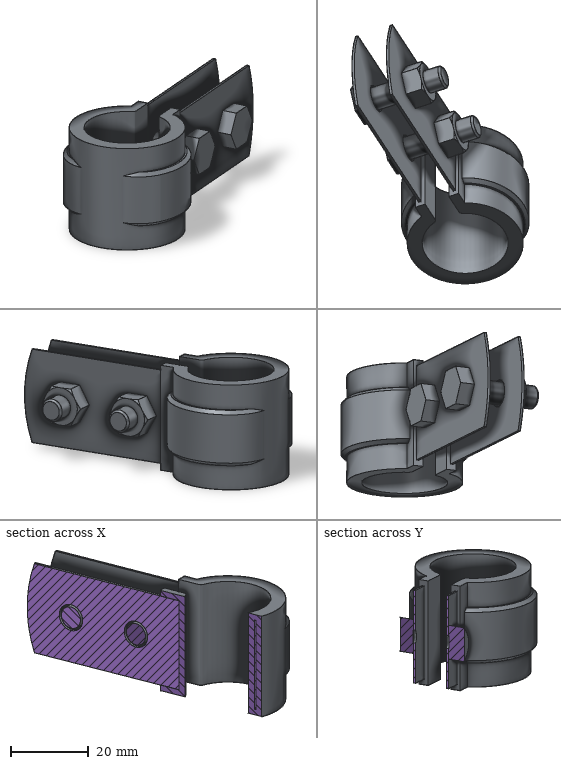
import cadquery as cq
import math


bore_diameter = 22.05
bore_radius = bore_diameter / 2
sleeve_radius = 14.9
sleeve_height = 28.0
lip_inner_x = 3.4
lip_outer_x = 6.1
lip_end_y = 17.35
lip_fillet = 1.0

pad_diameter = 32.7
pad_radius = pad_diameter / 2
pad_height = 14.8
pad_chamfer = 0.95
pad_arc_end_angle = -30.0
pad_runout_radius = 10.8
pad_runout_sweep = 55.0

strap_thickness = 0.65
strap_height = 24.9
strap_outer_x = 5.2
strap_inner_x = strap_outer_x - strap_thickness
strap_inner_radius = (bore_radius + sleeve_radius - strap_thickness) / 2
strap_end_y = 73.2 - sleeve_radius
strap_end_bulge = 2.3

bolt_first_y = 24.8
bolt_spacing = 20.0
bolt_count = 2
bolt_positions = [bolt_first_y + i * bolt_spacing for i in range(bolt_count)]
bolt_diameter = 6.0
bolt_tip_diameter = 4.9
bolt_length = 20.0
bolt_hole_diameter = 7.0
hex_flats = 9.95
hex_corners = hex_flats / math.cos(math.radians(30))
head_thickness = 3.95
nut_thickness = 4.8
nut_face_diameter = 10.0
nut_chamfer_width = (hex_corners - nut_face_diameter) / 2
nut_chamfer_depth = 0.45


def split_ring(inner_radius, outer_radius, inner_x, outer_x, end_y, height):
    """Open ring about Z whose two ends turn into parallel tails running to end_y."""
    middle_y = end_y / 2
    ring = cq.Workplane("XY").circle(outer_radius).extrude(height / 2, both=True)
    tails = cq.Workplane("XY").box(2 * outer_x, end_y, height).translate((0, middle_y, 0))
    bore = cq.Workplane("XY").circle(inner_radius).extrude(height / 2, both=True)
    gap = cq.Workplane("XY").box(2 * inner_x, end_y, height).translate((0, middle_y, 0))
    return ring.union(tails).cut(bore).cut(gap)


def polar(radius, angle, center=(0, 0)):
    """Point at a radius and an angle in degrees about a center."""
    turn = math.radians(angle)
    return (center[0] + radius * math.cos(turn), center[1] + radius * math.sin(turn))


def make_pad():
    """Chamfered pad on the +X flank, rooted in the sleeve wall and in the lip."""
    root_radius = (bore_radius + sleeve_radius) / 2
    lip_middle_x = (lip_inner_x + lip_outer_x) / 2
    start_angle = math.degrees(math.acos(lip_middle_x / pad_radius))
    root_start_angle = math.degrees(math.acos(lip_middle_x / root_radius))
    middle_angle = (start_angle + pad_arc_end_angle) / 2

    runout_center = polar(pad_radius - pad_runout_radius, pad_arc_end_angle)
    runout_end_angle = pad_arc_end_angle - pad_runout_sweep
    runout_middle = polar(pad_runout_radius, pad_arc_end_angle - pad_runout_sweep / 2, runout_center)
    runout_end = polar(pad_runout_radius, runout_end_angle, runout_center)
    root_end_angle = math.degrees(math.atan2(runout_end[1], runout_end[0]))
    root_middle_angle = (root_start_angle + root_end_angle) / 2

    return (
        cq.Workplane("XY")
        .moveTo(*polar(pad_radius, start_angle))
        .threePointArc(polar(pad_radius, middle_angle), polar(pad_radius, pad_arc_end_angle))
        .threePointArc(runout_middle, runout_end)
        .lineTo(*polar(root_radius, root_end_angle))
        .threePointArc(polar(root_radius, root_middle_angle), polar(root_radius, root_start_angle))
        .close()
        .extrude(pad_height / 2, both=True)
        .faces(">Z or <Z")
        .edges()
        .chamfer(pad_chamfer)
    )


def make_strap():
    """Continuous strap with rounded tail ends and clearance holes for the bolts."""
    strap = split_ring(
        strap_inner_radius,
        strap_inner_radius + strap_thickness,
        strap_inner_x,
        strap_outer_x,
        strap_end_y,
        strap_height,
    )
    half_height = strap_height / 2
    corner_y = strap_end_y - strap_end_bulge
    side_outline = (
        cq.Workplane("YZ")
        .moveTo(-sleeve_radius, -half_height)
        .lineTo(corner_y, -half_height)
        .threePointArc((strap_end_y, 0), (corner_y, half_height))
        .lineTo(-sleeve_radius, half_height)
        .close()
        .extrude(sleeve_radius, both=True)
    )
    bolt_holes = (
        cq.Workplane("YZ")
        .pushPoints([(y, 0) for y in bolt_positions])
        .circle(bolt_hole_diameter / 2)
        .extrude(strap_outer_x, both=True)
    )
    return strap.intersect(side_outline).cut(bolt_holes)


def make_sleeve(strap):
    """Split sleeve with lips and pads, moulded around the strap."""
    sleeve = split_ring(bore_radius, sleeve_radius, lip_inner_x, lip_outer_x, lip_end_y, sleeve_height)
    bore_corner_y = math.sqrt(bore_radius**2 - lip_inner_x**2)
    for x in (-lip_inner_x, lip_inner_x):
        corner = cq.selectors.NearestToPointSelector((x, bore_corner_y, 0))
        sleeve = sleeve.edges("|Z").edges(corner).fillet(lip_fillet)
    pad = make_pad()
    return sleeve.union(pad).union(pad.mirror("YZ")).cut(strap)


def make_bolt(y):
    """Hex bolt along X with its head against the +X tail and a chamfered tip toward -X."""
    head = (
        cq.Workplane("YZ", origin=(strap_outer_x, y, 0))
        .polygon(6, hex_corners)
        .extrude(head_thickness)
    )
    shank = (
        cq.Workplane("YZ", origin=(strap_outer_x, y, 0))
        .circle(bolt_diameter / 2)
        .extrude(-bolt_length)
        .faces("<X")
        .chamfer((bolt_diameter - bolt_tip_diameter) / 2)
    )
    return head.union(shank)


def make_nut(y):
    """Hex nut against the -X tail, its outer corners turned down by a shallow cone."""
    seat = cq.Workplane("YZ", origin=(-strap_outer_x, y, 0))
    hexagon = seat.polygon(6, hex_corners).extrude(-nut_thickness)
    turned = (
        seat.circle(hex_corners / 2)
        .extrude(-nut_thickness)
        .faces("<X")
        .chamfer(nut_chamfer_depth, nut_chamfer_width)
    )
    bore = seat.circle(bolt_diameter / 2).extrude(-nut_thickness)
    return hexagon.intersect(turned).cut(bore)


strap = make_strap()
sleeve = make_sleeve(strap)
bolts = [make_bolt(y) for y in bolt_positions]
nuts = [make_nut(y) for y in bolt_positions]

fasteners = [body.val() for body in bolts + nuts]
result = cq.Compound.makeCompound([strap.val(), sleeve.val(), *fasteners])